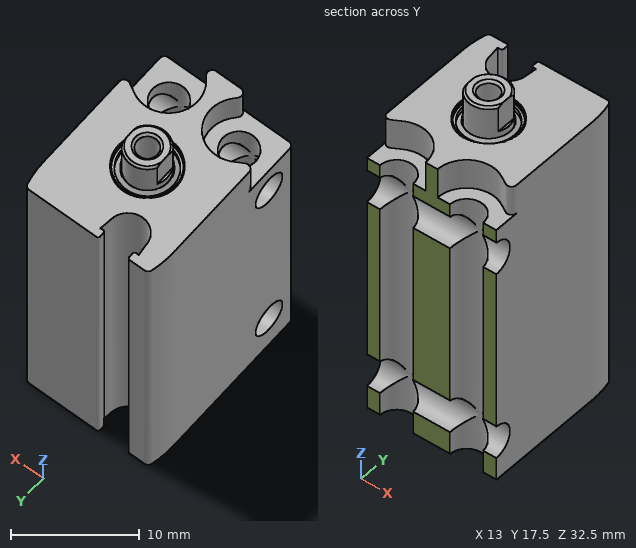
import cadquery as cq
import math

WIDTH = 13.0
FRONT_Y = -10.0
BACK_Y = 7.48
TOTAL_HEIGHT = 32.5
ROD_PROJECTION = 3.0
HOUSING_HEIGHT = TOTAL_HEIGHT - ROD_PROJECTION
HALF_WIDTH = WIDTH / 2

CORNER_RADIUS = 0.5
BACK_TAPER_START_Y = 4.8
BACK_TAPER_RADIUS = 9.42
BACK_CORNER_RADIUS = 0.5

SLOT_X = -2.63
SLOT_RADIUS = 1.8
SLOT_CENTER_Y = 5.65
SLOT_SHOULDER_WIDTH = 3.85
SLOT_MOUTH_WIDTH = 2.92
SLOT_LIP_THICKNESS = 0.8
SLOT_LIP_RADIUS = 0.2

HOLE_DIAMETER = 3.3
HOLE_X = 3.5
HOLE_Y = -7.0
CROSS_HOLE_HEIGHTS = (4.0, 23.5)

POCKET_RADIUS = 2.9
POCKET_DEPTH = 3.0
POCKET_SIDE_ANGLE = 60.0
POCKET_FRONT_ANGLE = 220.0
POCKET_EDGE_RADIUS = 0.5
FACE_TOLERANCE = 0.003

ROD_DIAMETER = 4.0
ROD_INSERTION = 10.0
ROD_CHAMFER = 0.2
ROD_FLAT_WIDTH = 3.5
ROD_FLAT_LENGTH = 2.65
ROD_HOLE_DIAMETER = 2.0
ROD_HOLE_MOUTH_DIAMETER = 2.47
ROD_HOLE_DEPTH = 4.0
ROD_HOLE_TIP_ANGLE = 118.0

RECESS_MOUTH_DIAMETER = 5.82
RECESS_MOUTH_DEPTH = 0.1
RECESS_STEP_DIAMETER = 5.6
RECESS_STEP_DEPTH = 0.3
RECESS_FLOOR_DIAMETER = 5.15
RECESS_DEPTH = 0.7
RECESS_RIM_DIAMETER = 4.22
RECESS_RIM_DEPTH = 0.2
ROD_CLEARANCE_DEPTH = 0.5


def on_circle(center, radius, degrees):
    angle = math.radians(degrees)
    return (center[0] + radius * math.cos(angle), center[1] + radius * math.sin(angle))


def housing_block():
    """Block with small front corners and back edges that curve inward."""
    taper_length = BACK_Y - BACK_TAPER_START_Y
    taper_center = (HALF_WIDTH - BACK_TAPER_RADIUS, BACK_TAPER_START_Y)
    taper_angle = math.degrees(math.asin(taper_length / BACK_TAPER_RADIUS))
    mid_x, mid_y = on_circle(taper_center, BACK_TAPER_RADIUS, taper_angle / 2)
    end_x, _ = on_circle(taper_center, BACK_TAPER_RADIUS, taper_angle)
    block = (
        cq.Workplane("XY")
        .moveTo(-HALF_WIDTH, FRONT_Y)
        .lineTo(HALF_WIDTH, FRONT_Y)
        .lineTo(HALF_WIDTH, BACK_TAPER_START_Y)
        .threePointArc((mid_x, mid_y), (end_x, BACK_Y))
        .lineTo(-end_x, BACK_Y)
        .threePointArc((-mid_x, mid_y), (-HALF_WIDTH, BACK_TAPER_START_Y))
        .close()
        .extrude(HOUSING_HEIGHT)
    )
    block = block.edges("|Z and <Y").fillet(CORNER_RADIUS)
    return block.edges("|Z and >Y").fillet(BACK_CORNER_RADIUS)


def cut_sensor_slot(body):
    """Round-bottomed slot along the full height, narrowed by two lips at the back."""
    shoulder = SLOT_SHOULDER_WIDTH / 2
    mouth = SLOT_MOUTH_WIDTH / 2
    lip_y = BACK_Y - SLOT_LIP_THICKNESS
    slot = (
        cq.Workplane("XY")
        .moveTo(SLOT_X - mouth, BACK_Y)
        .lineTo(SLOT_X - mouth, lip_y)
        .lineTo(SLOT_X - shoulder, lip_y)
        .lineTo(SLOT_X - SLOT_RADIUS, SLOT_CENTER_Y)
        .threePointArc((SLOT_X, SLOT_CENTER_Y - SLOT_RADIUS), (SLOT_X + SLOT_RADIUS, SLOT_CENTER_Y))
        .lineTo(SLOT_X + shoulder, lip_y)
        .lineTo(SLOT_X + mouth, lip_y)
        .lineTo(SLOT_X + mouth, BACK_Y)
        .close()
        .extrude(HOUSING_HEIGHT)
    )
    lip_edges = cq.selectors.BoxSelector(
        (SLOT_X - mouth - SLOT_LIP_RADIUS / 2, lip_y - SLOT_LIP_RADIUS / 2, 0),
        (SLOT_X + mouth + SLOT_LIP_RADIUS / 2, BACK_Y + SLOT_LIP_RADIUS / 2, HOUSING_HEIGHT),
    )
    return body.cut(slot).edges("|Z").edges(lip_edges).fillet(SLOT_LIP_RADIUS)


def mounting_pocket():
    """Pocket on the +X side, running out through the side and front faces."""
    center = (HOLE_X, HOLE_Y)
    side_tangent = on_circle(center, POCKET_RADIUS, POCKET_SIDE_ANGLE)
    front_tangent = on_circle(center, POCKET_RADIUS, POCKET_FRONT_ANGLE)
    arc_middle = on_circle(center, POCKET_RADIUS, (POCKET_SIDE_ANGLE + POCKET_FRONT_ANGLE) / 2)
    side_drop = (HALF_WIDTH - side_tangent[0]) / math.tan(math.radians(POCKET_SIDE_ANGLE))
    front_run = (FRONT_Y - front_tangent[1]) * math.tan(math.radians(POCKET_FRONT_ANGLE))
    return (
        cq.Workplane("XY", origin=(0, 0, HOUSING_HEIGHT - POCKET_DEPTH))
        .moveTo(HALF_WIDTH, FRONT_Y)
        .lineTo(HALF_WIDTH, side_tangent[1] - side_drop)
        .lineTo(*side_tangent)
        .threePointArc(arc_middle, front_tangent)
        .lineTo(front_tangent[0] - front_run, FRONT_Y)
        .close()
        .extrude(POCKET_DEPTH)
    )


def cut_mounting_pockets(body):
    """Mirrored pair of pockets whose sharp outer wall edges are rounded."""
    pocket = mounting_pocket()
    body = body.cut(pocket).cut(pocket.mirror("YZ"))
    pocket_walls = cq.selectors.BoxSelector(
        (-WIDTH, FRONT_Y - POCKET_EDGE_RADIUS, HOUSING_HEIGHT - POCKET_DEPTH),
        (WIDTH, 0, HOUSING_HEIGHT),
    )
    wall_edges = body.edges("|Z").edges(pocket_walls)
    sharp_edges = wall_edges.filter(
        lambda edge: abs(abs(edge.Center().x) - HALF_WIDTH) < FACE_TOLERANCE
        or abs(edge.Center().y - FRONT_Y) < FACE_TOLERANCE
    )
    return sharp_edges.fillet(POCKET_EDGE_RADIUS)


def cut_mounting_holes(body):
    for x in (-HOLE_X, HOLE_X):
        vertical = cq.Workplane("XY").center(x, HOLE_Y).circle(HOLE_DIAMETER / 2).extrude(HOUSING_HEIGHT)
        body = body.cut(vertical)
    for z in CROSS_HOLE_HEIGHTS:
        cross = cq.Workplane("YZ").center(HOLE_Y, z).circle(HOLE_DIAMETER / 2).extrude(HALF_WIDTH, both=True)
        body = body.cut(cross)
    return body


def cut_rod_seat(body):
    """Blind hole for the rod and the recess around it, as one turned cut."""
    mouth_z = HOUSING_HEIGHT - RECESS_MOUTH_DEPTH
    step_z = HOUSING_HEIGHT - RECESS_STEP_DEPTH
    floor_z = HOUSING_HEIGHT - RECESS_DEPTH
    rim_z = HOUSING_HEIGHT - RECESS_RIM_DEPTH
    clearance_z = HOUSING_HEIGHT - ROD_CLEARANCE_DEPTH
    seat = (
        cq.Workplane("XZ")
        .moveTo(0, HOUSING_HEIGHT)
        .lineTo(RECESS_MOUTH_DIAMETER / 2, HOUSING_HEIGHT)
        .lineTo(RECESS_MOUTH_DIAMETER / 2, mouth_z)
        .lineTo(RECESS_STEP_DIAMETER / 2, mouth_z)
        .lineTo(RECESS_STEP_DIAMETER / 2, step_z)
        .lineTo(RECESS_FLOOR_DIAMETER / 2, step_z)
        .lineTo(RECESS_FLOOR_DIAMETER / 2, floor_z)
        .lineTo(RECESS_RIM_DIAMETER / 2, rim_z)
        .lineTo(RECESS_RIM_DIAMETER / 2, clearance_z)
        .lineTo(ROD_DIAMETER / 2, clearance_z)
        .lineTo(ROD_DIAMETER / 2, HOUSING_HEIGHT - ROD_INSERTION)
        .lineTo(0, HOUSING_HEIGHT - ROD_INSERTION)
        .close()
        .revolve(360, (0, 0), (0, 1))
    )
    return body.cut(seat)


def make_housing():
    body = housing_block()
    body = cut_sensor_slot(body)
    body = cut_mounting_pockets(body)
    body = cut_mounting_holes(body)
    return cut_rod_seat(body)


def rod_hole():
    """Drilled blind hole with a countersunk mouth and a conical tip."""
    radius = ROD_HOLE_DIAMETER / 2
    mouth_radius = ROD_HOLE_MOUTH_DIAMETER / 2
    bottom_z = TOTAL_HEIGHT - ROD_HOLE_DEPTH
    tip_length = radius / math.tan(math.radians(ROD_HOLE_TIP_ANGLE / 2))
    return (
        cq.Workplane("XZ")
        .moveTo(0, TOTAL_HEIGHT)
        .lineTo(mouth_radius, TOTAL_HEIGHT)
        .lineTo(radius, TOTAL_HEIGHT - (mouth_radius - radius))
        .lineTo(radius, bottom_z)
        .lineTo(0, bottom_z - tip_length)
        .close()
        .revolve(360, (0, 0), (0, 1))
    )


def make_rod():
    """Round rod with a chamfered end, two wrench flats facing X and an end hole."""
    rod = (
        cq.Workplane("XY", origin=(0, 0, HOUSING_HEIGHT - ROD_INSERTION))
        .circle(ROD_DIAMETER / 2)
        .extrude(ROD_PROJECTION + ROD_INSERTION)
        .faces(">Z")
        .chamfer(ROD_CHAMFER)
    )
    for side in (-1, 1):
        flat_cut = (
            cq.Workplane("XY", origin=(0, 0, TOTAL_HEIGHT - ROD_FLAT_LENGTH))
            .center(side * (ROD_FLAT_WIDTH + ROD_DIAMETER) / 2, 0)
            .rect(ROD_DIAMETER, ROD_DIAMETER)
            .extrude(ROD_FLAT_LENGTH)
        )
        rod = rod.cut(flat_cut)
    return rod.cut(rod_hole())


housing = make_housing()
rod = make_rod()

result = cq.Compound.makeCompound([housing.val(), rod.val()])